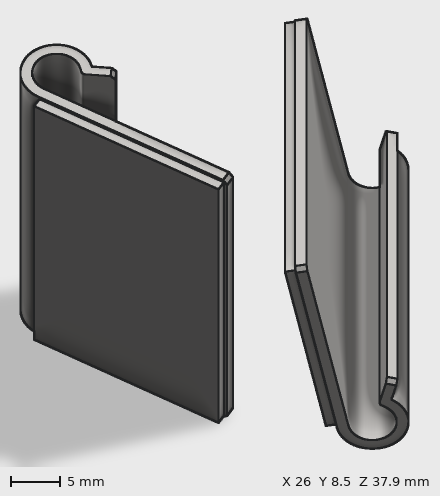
import cadquery as cq
import math

height = 37.9
total_length = 26.0
thickness = 1.2
curl_diameter = 7.4
outer_radius = curl_diameter / 2
inner_radius = outer_radius - thickness
plate_end = total_length - outer_radius

curl_end_angle = math.radians(43)
lip_angle = math.radians(25)
lip_length = 2.5
lip_thickness = 1.1
bend_radius = 0.45
corner_chamfer = 0.5

pad_thickness = 1.1
pad_start = 0.15
pad_end_gap = 0.38
pad_side_gap = 0.25


def polar(radius, angle):
    return radius * math.cos(angle), radius * math.sin(angle)


def offset(point, distance, angle):
    dx, dy = polar(distance, angle)
    return point[0] + dx, point[1] + dy


def make_clip():
    lip_root = polar(outer_radius, curl_end_angle)
    lip_tip = offset(lip_root, lip_length, lip_angle)
    lip_tip_inner = offset(lip_tip, lip_thickness, lip_angle - math.pi / 2)
    curl_end_inner = polar(inner_radius, curl_end_angle)

    bend_angle = lip_angle + math.pi / 2 - curl_end_angle
    run_length = (lip_thickness - thickness * math.cos(bend_angle)) / math.sin(bend_angle)
    bend_corner = offset(curl_end_inner, run_length, curl_end_angle - math.pi / 2)

    clip = (
        cq.Workplane("XY")
        .moveTo(plate_end, -outer_radius)
        .lineTo(0, -outer_radius)
        .threePointArc((-outer_radius, 0), lip_root)
        .lineTo(*lip_tip)
        .lineTo(*lip_tip_inner)
        .lineTo(*bend_corner)
        .lineTo(*curl_end_inner)
        .threePointArc((-inner_radius, 0), (0, -inner_radius))
        .lineTo(plate_end, -inner_radius)
        .close()
        .extrude(height)
    )
    clip = clip.edges(cq.selectors.NearestToPointSelector((*bend_corner, height / 2))).fillet(bend_radius)
    return chamfer_strip_ends(clip, lip_tip, lip_tip_inner)


def chamfer_strip_ends(clip, lip_tip, lip_tip_inner):
    """Chamfer the top and bottom corners of the plate end and the lip tip."""
    lip_middle = ((lip_tip[0] + lip_tip_inner[0]) / 2, (lip_tip[1] + lip_tip_inner[1]) / 2)
    plate_middle = (plate_end, -outer_radius + thickness / 2)
    for end in (lip_middle, plate_middle):
        for z in (0, height):
            corner = cq.selectors.NearestToPointSelector((*end, z))
            clip = clip.edges(corner).chamfer(corner_chamfer)
    return clip


def make_pad():
    pad_length = plate_end - pad_end_gap - pad_start
    pad_height = height - 2 * pad_side_gap
    return (
        cq.Workplane("XY")
        .box(pad_length, pad_thickness, pad_height, centered=False)
        .translate((pad_start, -outer_radius - pad_thickness, pad_side_gap))
    )


clip = make_clip()
pad = make_pad()
result = cq.Compound.makeCompound([clip.val(), pad.val()])